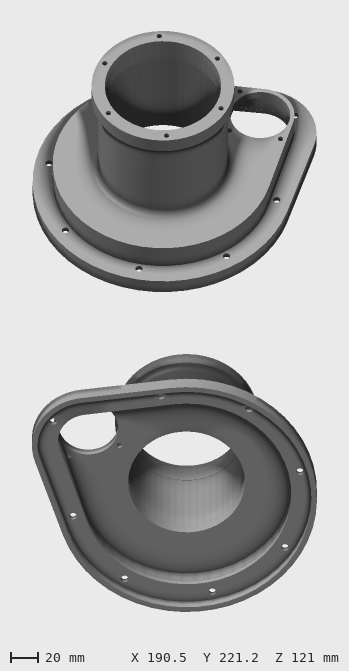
import cadquery as cq
import math

pinion_offset = 85.0
flange_width = 190.5
overall_length = 221.2
flange_radius = flange_width / 2
flange_tip_radius = overall_length - flange_radius - pinion_offset
flange_wall = 4.0
cover_radius = 80.5
pinion_bore_radius = 22.0
cover_wall = 3.0
window_radius = 76.5
cover_tip_radius = pinion_bore_radius + cover_wall

total_height = 121.0
flange_height = 12.2
cover_height = 20.1
roof_thickness = 6.9
collar_height = 12.2

tube_radius = 47.5
collar_radius = 52.2
base_fillet = 5.0
bore_radius = 42.5
seat_depth = 20.8
relief_radius = 42.7

flange_hole_diameter = 5.3
flange_hole_count = 8
tip_hole_offset = 30.0
collar_hole_diameter = 4.0
collar_hole_circle = 47.5
collar_hole_count = 6
collar_hole_depth = 8.8
drill_point_angle = 118
pinion_hole_diameter = 4.0
pinion_hole_circle = 27.0

cover_top = flange_height + cover_height
cavity_top = cover_top - roof_thickness
recess_height = flange_height - flange_wall
collar_bottom = total_height - collar_height
collar_fillet = collar_radius - tube_radius


def teardrop(big, tip, bottom, top):
    """Prism with a round end about each bore axis, joined by tangent lines."""
    slope = math.asin((big - tip) / pinion_offset)
    across, along = math.cos(slope), math.sin(slope)
    big_tangent = (big * across, big * along)
    tip_tangent = (tip * across, pinion_offset + tip * along)
    return (
        cq.Workplane("XY", origin=(0, 0, bottom))
        .moveTo(*big_tangent)
        .lineTo(*tip_tangent)
        .threePointArc((0, pinion_offset + tip), (-tip_tangent[0], tip_tangent[1]))
        .lineTo(-big_tangent[0], big_tangent[1])
        .threePointArc((0, -big), big_tangent)
        .close()
        .extrude(top - bottom)
    )


def cylinders(points, diameter, bottom, top):
    """Upright cylinders of one diameter at the given plan points."""
    plane = cq.Workplane("XY", origin=(0, 0, bottom))
    return plane.pushPoints(points).circle(diameter / 2).extrude(top - bottom)


def circle_points(radius, angles, centre_y=0):
    """Plan points at the given angles around a centre on the Y axis."""
    return [
        (radius * math.cos(math.radians(a)), centre_y + radius * math.sin(math.radians(a)))
        for a in angles
    ]


def make_flange():
    """Base flange: a thin web with a rim below it, a window and bolt holes."""
    plate = teardrop(flange_radius, flange_tip_radius, 0, flange_height)
    recess = teardrop(flange_radius - flange_wall, flange_tip_radius - flange_wall, 0, recess_height)
    window = teardrop(window_radius, pinion_bore_radius, recess_height, flange_height)
    step = 360 / flange_hole_count
    angles = [90 + step * i for i in range(1, flange_hole_count)]
    points = circle_points(pinion_offset, angles)
    points.append((0, pinion_offset + tip_hole_offset))
    holes = cylinders(points, flange_hole_diameter, 0, flange_height)
    return plate.cut(recess).cut(window).cut(holes)


def make_tube():
    """Tube with its collar and both fillets, turned about the Z axis."""
    bend = 1 - math.sqrt(0.5)
    base_bend = base_fillet * bend
    collar_bend = collar_fillet * bend
    base_radius = tube_radius + base_fillet
    return (
        cq.Workplane("XZ")
        .moveTo(0, cavity_top)
        .lineTo(base_radius, cavity_top)
        .lineTo(base_radius, cover_top)
        .threePointArc(
            (tube_radius + base_bend, cover_top + base_bend),
            (tube_radius, cover_top + base_fillet),
        )
        .lineTo(tube_radius, collar_bottom - collar_fillet)
        .threePointArc(
            (tube_radius + collar_bend, collar_bottom - collar_bend),
            (collar_radius, collar_bottom),
        )
        .lineTo(collar_radius, total_height)
        .lineTo(0, total_height)
        .close()
        .revolve(360, (0, 0, 0), (0, 1, 0))
    )


def collar_holes():
    """Blind drilled holes in the collar, each with a conical bottom."""
    radius = collar_hole_diameter / 2
    point_length = radius / math.tan(math.radians(drill_point_angle / 2))
    hole_bottom = total_height - collar_hole_depth
    drill = (
        cq.Workplane("XZ")
        .moveTo(0, total_height)
        .lineTo(radius, total_height)
        .lineTo(radius, hole_bottom)
        .lineTo(0, hole_bottom - point_length)
        .close()
        .revolve(360, (0, 0, 0), (0, 1, 0))
    )
    drills = cq.Workplane("XY")
    angles = [90 + 360 / collar_hole_count * i for i in range(collar_hole_count)]
    for x, y in circle_points(collar_hole_circle, angles):
        drills = drills.add(drill.translate((x, y, 0)))
    return drills.combine()


def make_cover():
    """Hollow cover with the tube on its roof."""
    seat_bottom = total_height - seat_depth
    pinion_centre = [(0, pinion_offset)]
    screw_points = circle_points(pinion_hole_circle, (0, 180, 270), pinion_offset)
    return (
        teardrop(cover_radius, cover_tip_radius, flange_height, cover_top)
        .union(make_tube())
        .cut(teardrop(cover_radius - cover_wall, pinion_bore_radius, flange_height, cavity_top))
        .cut(cylinders([(0, 0)], 2 * relief_radius, cavity_top, seat_bottom))
        .cut(cylinders([(0, 0)], 2 * bore_radius, seat_bottom, total_height))
        .cut(cylinders(pinion_centre, 2 * pinion_bore_radius, cavity_top, cover_top))
        .cut(cylinders(screw_points, pinion_hole_diameter, cavity_top, cover_top))
        .cut(collar_holes())
    )


flange = make_flange()
cover = make_cover()
result = cq.Compound.makeCompound([flange.solids().val(), cover.solids().val()])